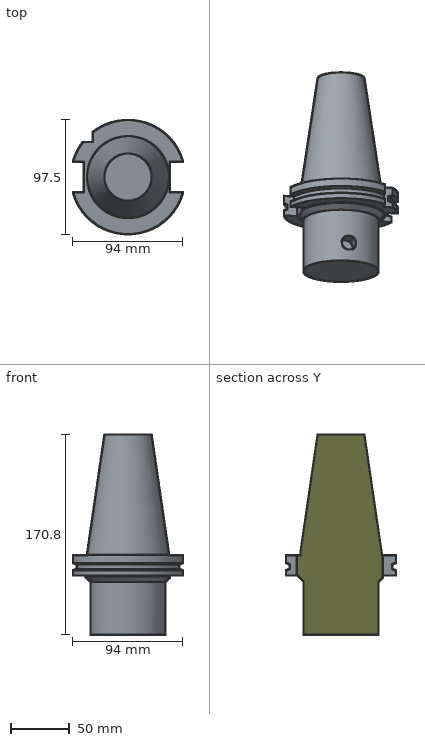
import cadquery as cq

total_height = 170.8
taper_ratio = 7 / 24
gauge_diameter = 69.8
gauge_z = 69.3

nose_diameter = 64.0
nose_top_z = 45.0
flange_bottom_z = 50.4
flare_radius = 36.7

flange_diameter = 97.5
flange_top_z = 67.8
groove_root_diameter = 91.4
groove_center_z = 58.0
groove_mouth_width = 6.3
groove_root_width = 3.8

slot_width = 25.8
left_slot_floor = 37.7
right_slot_floor = 35.7

notch_corner = 30.0

screw_diameter = 12.3
screw_z = 16.0
screw_depth = 14.0

flange_radius = flange_diameter / 2
shank_top_diameter = gauge_diameter - taper_ratio * (total_height - gauge_z)


def make_body():
    """Revolve the nose, flare, grooved flange and taper shank."""
    nose_radius = nose_diameter / 2
    root_radius = groove_root_diameter / 2
    flare_end_z = nose_top_z + (flare_radius - nose_radius)
    profile = [
        (0, 0),
        (nose_radius, 0),
        (nose_radius, nose_top_z),
        (flare_radius, flare_end_z),
        (flare_radius, flange_bottom_z),
        (flange_radius, flange_bottom_z),
        (flange_radius, groove_center_z - groove_mouth_width / 2),
        (root_radius, groove_center_z - groove_root_width / 2),
        (root_radius, groove_center_z + groove_root_width / 2),
        (flange_radius, groove_center_z + groove_mouth_width / 2),
        (flange_radius, flange_top_z),
        (gauge_diameter / 2, flange_top_z),
        (gauge_diameter / 2, gauge_z),
        (shank_top_diameter / 2, total_height),
        (0, total_height),
    ]
    return cq.Workplane("XZ").polyline(profile).close().revolve(360, (0, 0), (0, 1))


def flange_cutter(x_start, x_end, y_start, y_end, z_start=flange_bottom_z):
    """Box between the given X and Y limits, reaching up to the flange top."""
    size = (x_end - x_start, y_end - y_start, flange_top_z - z_start)
    corner = (x_start, y_start, z_start)
    return cq.Workplane("XY").box(*size, centered=False).translate(corner)


def make_screw_hole():
    """Blind radial cylinder running from the +Y side of the nose."""
    start = cq.Vector(0, nose_diameter / 2, screw_z)
    inward = cq.Vector(0, -1, 0)
    return cq.Solid.makeCylinder(screw_diameter / 2, screw_depth, start, inward)


half_slot = slot_width / 2
left_slot = flange_cutter(-flange_radius, -left_slot_floor, -half_slot, half_slot)
right_slot = flange_cutter(right_slot_floor, flange_radius, -half_slot, half_slot, nose_top_z)
notch = flange_cutter(-flange_radius, -notch_corner, notch_corner, flange_radius)

result = make_body().cut(left_slot).cut(right_slot).cut(notch).cut(make_screw_hole())